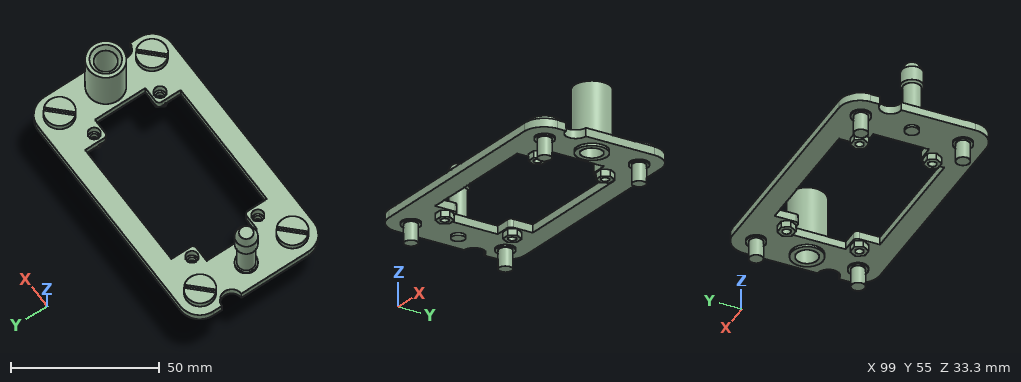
import cadquery as cq

PLATE_LENGTH = 99.0
PLATE_WIDTH = 55.0
PLATE_THICKNESS = 3.2
PLATE_CORNER_RADIUS = 8.0

WINDOW_TALL_LENGTH = 50.3
WINDOW_TALL_WIDTH = 39.2
WINDOW_LONG_LENGTH = 65.1
WINDOW_LONG_WIDTH = 20.7
WINDOW_LUG_RADIUS = 1.5

NOTCH_DIAMETER = 7.9
NOTCH_Y = 12.0

POST_X = 41.0
SCREW_Y = 19.0

BUSH_X = 28.5
BUSH_Y = 13.6
BUSH_ACROSS_CORNERS = 6.3
BUSH_HEIGHT = 2.5
BUSH_BORE_DIAMETER = 3.0
BUSH_PLATE_HOLE_DIAMETER = 4.5

PIN_TIP_DIAMETER = 4.95
PIN_HEAD_DIAMETER = 7.9
PIN_SHAFT_DIAMETER = 6.4
PIN_COLLAR_HEIGHT = 0.8
PIN_HEAD_TAPER = 0.8
PIN_HEAD_HEIGHT = 5.4
PIN_NOSE_HEIGHT = 2.8
PIN_HEIGHT = 22.6
PIN_TAIL_DIAMETER = 5.0

SLEEVE_DIAMETER = 14.0
SLEEVE_BORE_DIAMETER = 8.1
SLEEVE_MOUTH_DIAMETER = 11.0
SLEEVE_HEIGHT = 19.5
SLEEVE_TAIL_DIAMETER = 11.9

TAIL_PROJECTION = 0.9

SCREW_HEAD_DIAMETER = 11.0
SCREW_HEAD_HEIGHT = 2.5
SCREW_COLLAR_DIAMETER = 7.0
SCREW_COLLAR_PROJECTION = 0.6
SCREW_SHANK_DIAMETER = 5.0
SCREW_SHANK_PROJECTION = 7.5
SLOT_WIDTH = 1.3
SLOT_DEPTH = 1.3
SLOT_ANGLE = 45.0

SCREW_POINTS = [(x, y) for x in (-POST_X, POST_X) for y in (-SCREW_Y, SCREW_Y)]
BUSH_POINTS = [(x, y) for x in (-BUSH_X, BUSH_X) for y in (-BUSH_Y, BUSH_Y)]


def cylinders(points, diameter, bottom, top):
    """Upright cylinders of one size at the given XY points."""
    return (
        cq.Workplane("XY", origin=(0, 0, bottom))
        .pushPoints(points)
        .circle(diameter / 2)
        .extrude(top - bottom)
    )


def make_window():
    """Cross-shaped cutter whose four re-entrant corners are rounded."""
    tall = cq.Workplane("XY").rect(WINDOW_TALL_LENGTH, WINDOW_TALL_WIDTH).extrude(PLATE_THICKNESS)
    long = cq.Workplane("XY").rect(WINDOW_LONG_LENGTH, WINDOW_LONG_WIDTH).extrude(PLATE_THICKNESS)
    lug_corners = [
        (sign_x * WINDOW_TALL_LENGTH / 2, sign_y * WINDOW_LONG_WIDTH / 2, PLATE_THICKNESS / 2)
        for sign_x in (-1, 1)
        for sign_y in (-1, 1)
    ]
    window = tall.union(long)
    for corner in lug_corners:
        window = window.edges(cq.selectors.NearestToPointSelector(corner)).fillet(WINDOW_LUG_RADIUS)
    return window


def make_plate():
    """Rounded plate with its window, edge notches and screw holes."""
    plate = (
        cq.Workplane("XY")
        .rect(PLATE_LENGTH, PLATE_WIDTH)
        .extrude(PLATE_THICKNESS)
        .edges("|Z")
        .fillet(PLATE_CORNER_RADIUS)
    )
    notch_points = [(-PLATE_LENGTH / 2, NOTCH_Y), (PLATE_LENGTH / 2, -NOTCH_Y)]
    notches = cylinders(notch_points, NOTCH_DIAMETER, 0, PLATE_THICKNESS)
    screw_holes = cylinders(SCREW_POINTS, SCREW_COLLAR_DIAMETER, 0, PLATE_THICKNESS)
    return plate.cut(make_window()).cut(notches).cut(screw_holes)


def add_bushes(plate):
    """Hexagon bushes under the lugs, each bored below a wider hole through the plate."""
    hexagons = (
        cq.Workplane("XY")
        .pushPoints(BUSH_POINTS)
        .polygon(6, BUSH_ACROSS_CORNERS)
        .extrude(-BUSH_HEIGHT)
    )
    bores = cylinders(BUSH_POINTS, BUSH_BORE_DIAMETER, -BUSH_HEIGHT, PLATE_THICKNESS)
    plate_holes = cylinders(BUSH_POINTS, BUSH_PLATE_HOLE_DIAMETER, 0, PLATE_THICKNESS)
    return plate.union(hexagons).cut(bores).cut(plate_holes)


def make_pin():
    """Guide pin turned about the Z axis: tail, collar, shaft, head and tapered nose."""
    tail_radius = PIN_TAIL_DIAMETER / 2
    head_radius = PIN_HEAD_DIAMETER / 2
    shaft_radius = PIN_SHAFT_DIAMETER / 2
    collar_top = PLATE_THICKNESS + PIN_COLLAR_HEIGHT
    pin_top = PLATE_THICKNESS + PIN_HEIGHT
    head_top = pin_top - PIN_NOSE_HEIGHT
    head_bottom = head_top - PIN_HEAD_HEIGHT
    profile = [
        (0, -TAIL_PROJECTION),
        (tail_radius, -TAIL_PROJECTION),
        (tail_radius, PLATE_THICKNESS),
        (head_radius, PLATE_THICKNESS),
        (head_radius, collar_top),
        (shaft_radius, collar_top),
        (shaft_radius, head_bottom - PIN_HEAD_TAPER),
        (head_radius, head_bottom),
        (head_radius, head_top),
        (PIN_TIP_DIAMETER / 2, pin_top),
        (0, pin_top),
    ]
    pin = cq.Workplane("XZ").polyline(profile).close().revolve(360, (0, 0), (0, 1))
    return pin.translate((-POST_X, 0, 0))


def add_sleeve(frame):
    """Guide sleeve with a tail below the plate and a bore with a 45 degree mouth."""
    centre = [(POST_X, 0)]
    sleeve_top = PLATE_THICKNESS + SLEEVE_HEIGHT
    tube = cylinders(centre, SLEEVE_DIAMETER, PLATE_THICKNESS, sleeve_top)
    tail = cylinders(centre, SLEEVE_TAIL_DIAMETER, -TAIL_PROJECTION, PLATE_THICKNESS)
    bore = cylinders(centre, SLEEVE_BORE_DIAMETER, -TAIL_PROJECTION, sleeve_top)
    mouth_width = (SLEEVE_MOUTH_DIAMETER - SLEEVE_BORE_DIAMETER) / 2
    mouth = cq.Workplane(
        cq.Solid.makeCone(
            SLEEVE_BORE_DIAMETER / 2,
            SLEEVE_MOUTH_DIAMETER / 2,
            mouth_width,
            pnt=cq.Vector(POST_X, 0, sleeve_top - mouth_width),
        )
    )
    return frame.union(tube).union(tail).cut(bore).cut(mouth)


def make_frame():
    """Plate with its bushes, riveted guide pin and guide sleeve as one solid."""
    return add_sleeve(add_bushes(make_plate()).union(make_pin()))


def make_screw(point):
    """Slotted screw with a collar that fills the plate hole and a plain shank."""
    head_top = PLATE_THICKNESS + SCREW_HEAD_HEIGHT
    head = cylinders([point], SCREW_HEAD_DIAMETER, PLATE_THICKNESS, head_top)
    collar = cylinders([point], SCREW_COLLAR_DIAMETER, -SCREW_COLLAR_PROJECTION, PLATE_THICKNESS)
    shank = cylinders(
        [point], SCREW_SHANK_DIAMETER, -SCREW_SHANK_PROJECTION, -SCREW_COLLAR_PROJECTION
    )
    slot = (
        cq.Workplane("XY", origin=(*point, head_top))
        .transformed(rotate=(0, 0, SLOT_ANGLE))
        .rect(2 * SCREW_HEAD_DIAMETER, SLOT_WIDTH)
        .extrude(-SLOT_DEPTH)
    )
    return head.cut(slot).union(collar).union(shank)


frame = make_frame()
screws = [make_screw(point) for point in SCREW_POINTS]
result = cq.Compound.makeCompound([body.solids().val() for body in (frame, *screws)])